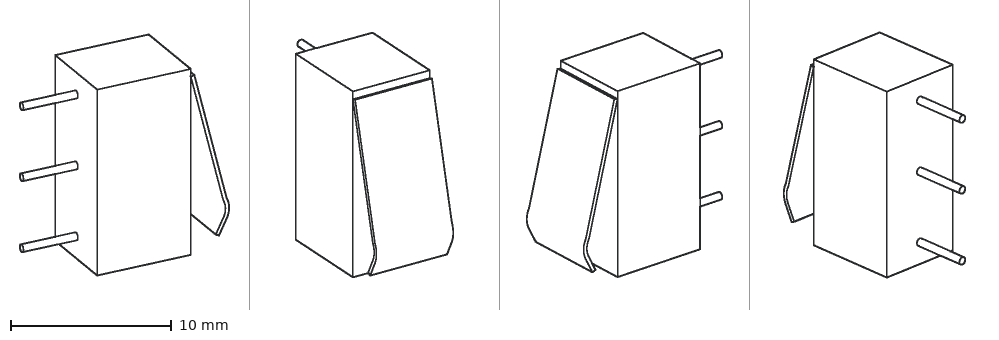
import cadquery as cq
import math

WIDTH = 5.71
HEIGHT = 12.8
TOTAL_DEPTH = 13.09
PIN_LENGTH = 3.82
LEVER_REACH = 2.7
HOUSING_DEPTH = TOTAL_DEPTH - PIN_LENGTH - LEVER_REACH

PIN_DIAMETER = 0.51
PIN_PITCH = 4.88
PIN_COUNT = 3

LEVER_THICKNESS = 0.26
LEG_ANGLE = math.radians(14.2)
LEG_TOP_Z = 5.86
BEND_RADIUS = 1.5
BEND_CENTER = (LEVER_REACH - BEND_RADIUS, -3.73)
TAIL_ANGLE = math.radians(27)
TAIL_LENGTH = 1.22


def make_housing():
    """Rectangular case with a row of pins standing on its front face."""
    housing = cq.Workplane("XY").box(WIDTH, HOUSING_DEPTH, HEIGHT).translate((0, -HOUSING_DEPTH / 2, 0))
    for index in range(PIN_COUNT):
        pin_z = (index - (PIN_COUNT - 1) / 2) * PIN_PITCH
        pin = (
            cq.Workplane("XZ", origin=(0, -HOUSING_DEPTH, pin_z))
            .circle(PIN_DIAMETER / 2)
            .extrude(PIN_LENGTH)
        )
        housing = housing.union(pin)
    return housing


def shifted(point, direction, distance):
    """Point moved by a distance along a unit direction in the YZ plane."""
    return (point[0] + distance * direction[0], point[1] + distance * direction[1])


def leg_meets_bend(start, direction, radius):
    """First point where a line down the leg reaches a circle about the bend centre."""
    offset_y = start[0] - BEND_CENTER[0]
    offset_z = start[1] - BEND_CENTER[1]
    along = offset_y * direction[0] + offset_z * direction[1]
    distance_squared = offset_y**2 + offset_z**2
    reach = -along - math.sqrt(along**2 - distance_squared + radius**2)
    return shifted(start, direction, reach)


def make_lever():
    """Bent strip as wide as the housing, touching it along the top inner edge."""
    leg_direction = (math.sin(LEG_ANGLE), -math.cos(LEG_ANGLE))
    leg_outward = (math.cos(LEG_ANGLE), math.sin(LEG_ANGLE))
    tail_direction = (-math.sin(TAIL_ANGLE), -math.cos(TAIL_ANGLE))
    tail_outward = (math.cos(TAIL_ANGLE), -math.sin(TAIL_ANGLE))
    bend_outward = (1, 0)
    inner_radius = BEND_RADIUS - LEVER_THICKNESS

    inner_top = (0, LEG_TOP_Z)
    outer_top = shifted(inner_top, leg_outward, LEVER_THICKNESS)
    outer_tail_start = shifted(BEND_CENTER, tail_outward, BEND_RADIUS)
    inner_tail_start = shifted(BEND_CENTER, tail_outward, inner_radius)

    return (
        cq.Workplane("YZ", origin=(-WIDTH / 2, 0, 0))
        .moveTo(*outer_top)
        .lineTo(*leg_meets_bend(outer_top, leg_direction, BEND_RADIUS))
        .threePointArc(shifted(BEND_CENTER, bend_outward, BEND_RADIUS), outer_tail_start)
        .lineTo(*shifted(outer_tail_start, tail_direction, TAIL_LENGTH))
        .lineTo(*shifted(inner_tail_start, tail_direction, TAIL_LENGTH))
        .lineTo(*inner_tail_start)
        .threePointArc(
            shifted(BEND_CENTER, bend_outward, inner_radius),
            leg_meets_bend(inner_top, leg_direction, inner_radius),
        )
        .lineTo(*inner_top)
        .close()
        .extrude(WIDTH)
    )


housing = make_housing()
lever = make_lever()
result = cq.Compound.makeCompound([housing.solids().val(), lever.val()])